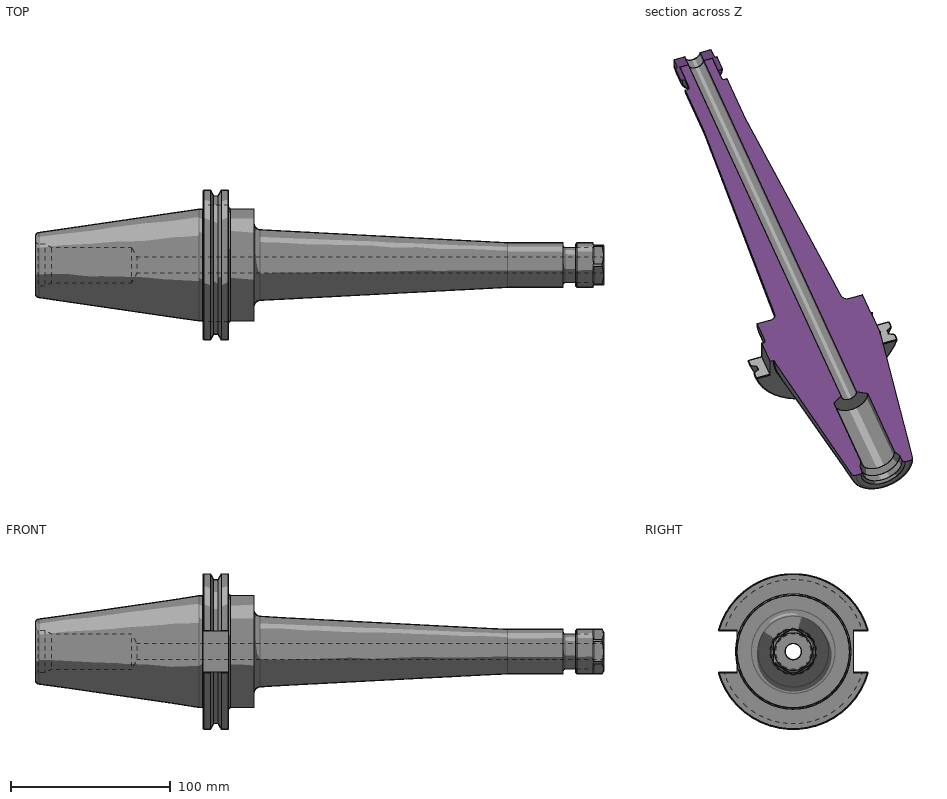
import cadquery as cq
import math

taper_length = 101.75
band_start = 0.6
flange_start = 3.2
flange_end = 19.1
collar_end = 35.0
cone_end = 193.6
shank_end = 228.3
nut_end = 253.87
nut_length = 17.8
hex_length = 6.8
nut_start = nut_end - nut_length
hex_start = nut_end - hex_length

gauge_diameter = 69.85
taper_ratio = 7 / 24
band_diameter = gauge_diameter + band_start * taper_ratio
taper_end_diameter = gauge_diameter - taper_length * taper_ratio
taper_end_fillet = 2.5

flange_diameter = 97.5
flange_chamfer = 0.5
flange_front_foot = 0.5
groove_centre = 11.1
groove_depth = 3.6
groove_floor_width = 2.7
groove_half_angle = 30
slot_width = 25.7
slot_floor_front = 35.3
slot_floor_back = 37.7
slot_mouth_limit = (slot_floor_back + flange_diameter / 2) / 2

collar_diameter = 70.2
collar_foot = 1.0
cone_start_diameter = 44.7
cone_fillet = 4.0
shank_diameter = 28.0
neck_diameter = 22.0
neck_fillet = 1.2

mouth_diameter = 29.2
pilot_diameter = 26.2
pilot_depth = 6.0
drawbar_diameter = 22.23
drawbar_start_depth = 10.0
drawbar_end_depth = 60.0
drill_tip_half_angle = 59
through_diameter = 10.0

nut_diameter = 28.0
nut_rear_chamfer = 0.9
hex_across_flats = 25.0
flat_count = 6
hex_root_fillet = 0.7
nut_face_diameter = 23.56
nut_face_angle = 30

overshoot = 1.0
position_tolerance = 0.01


def revolve_about_x(points):
    """Solid of revolution about X from (x, radius) points."""
    return cq.Workplane("XY").polyline(points).close().revolve(360, (0, 0, 0), (1, 0, 0))


def disc(x_start, x_end, diameter):
    """Cylinder about X between two axial positions."""
    return cq.Workplane("YZ", origin=(x_start, 0, 0)).circle(diameter / 2).extrude(x_end - x_start)


def inner_circle(solid, x):
    """The smallest circular edge of a turned solid in the plane at x."""
    circles = solid.edges("%CIRCLE").vals()
    in_plane = [edge for edge in circles if abs(edge.Center().x - x) < position_tolerance]
    return solid.newObject([min(in_plane, key=lambda edge: edge.radius())])


def make_taper():
    taper = revolve_about_x([
        (-taper_length, 0),
        (-taper_length, taper_end_diameter / 2),
        (band_start, band_diameter / 2),
        (flange_start - flange_front_foot, band_diameter / 2),
        (flange_start, band_diameter / 2 + flange_front_foot),
        (flange_start, 0),
    ])
    return taper.faces("<X").edges().fillet(taper_end_fillet)


def make_groove():
    floor_half = groove_floor_width / 2
    floor_radius = flange_diameter / 2 - groove_depth
    cut_height = groove_depth + overshoot
    mouth_half = floor_half + cut_height * math.tan(math.radians(groove_half_angle))
    return revolve_about_x([
        (groove_centre - floor_half, floor_radius),
        (groove_centre + floor_half, floor_radius),
        (groove_centre + mouth_half, floor_radius + cut_height),
        (groove_centre - mouth_half, floor_radius + cut_height),
    ])


def make_slot(side, floor):
    """Cutter for one drive slot on the side Y < 0 (-1) or Y > 0 (+1)."""
    length = flange_end - flange_start
    centre_x = (flange_start + flange_end) / 2
    slot = cq.Workplane("XY").box(length, flange_diameter, slot_width)
    return slot.translate((centre_x, side * (floor + flange_diameter / 2), 0))


def make_flange():
    flange = disc(flange_start, flange_end, flange_diameter)
    for side, floor in ((-1, slot_floor_front), (1, slot_floor_back)):
        flange = flange.cut(make_slot(side, floor))
    rim_edges = flange.edges("%CIRCLE").vals()
    slot_wall_edges = flange.faces("+Z or -Z").edges("|Y").vals()
    slot_corners = flange.edges("|X").vals()
    slot_mouth_edges = [edge for edge in slot_corners if abs(edge.Center().y) > slot_mouth_limit]
    flange = flange.newObject(rim_edges + slot_wall_edges + slot_mouth_edges).chamfer(flange_chamfer)
    return flange.cut(make_groove())


def make_shank():
    """Collar, tapered shank and the neck that runs into the nut."""
    shank = revolve_about_x([
        (flange_end, 0),
        (flange_end, collar_diameter / 2 + collar_foot),
        (flange_end + collar_foot, collar_diameter / 2),
        (collar_end, collar_diameter / 2),
        (collar_end, cone_start_diameter / 2),
        (cone_end, shank_diameter / 2),
        (shank_end, shank_diameter / 2),
        (shank_end, neck_diameter / 2),
        (hex_start, neck_diameter / 2),
        (hex_start, 0),
    ])
    shank = inner_circle(shank, collar_end).fillet(cone_fillet)
    return inner_circle(shank, shank_end).fillet(neck_fillet)


def make_bores():
    mouth_chamfer = (mouth_diameter - pilot_diameter) / 2
    tip_length = drawbar_diameter / 2 / math.tan(math.radians(drill_tip_half_angle))
    stepped = revolve_about_x([
        (0, 0),
        (0, mouth_diameter / 2),
        (mouth_chamfer, pilot_diameter / 2),
        (pilot_depth, pilot_diameter / 2),
        (drawbar_start_depth, drawbar_diameter / 2),
        (drawbar_end_depth, drawbar_diameter / 2),
        (drawbar_end_depth + tip_length, 0),
    ]).translate((-taper_length, 0, 0))
    return stepped.union(disc(-taper_length, hex_start, through_diameter))


def make_holder():
    return make_taper().union(make_flange()).union(make_shank()).cut(make_bores())


def make_flat_cutter(angle):
    """Cutter for one wrench flat, rounded where it meets the nut's shoulder; 0 degrees faces +Y."""
    cutter = cq.Workplane("XY").box(
        hex_length + overshoot, nut_diameter / 2, nut_diameter, centered=(False, False, True)
    )
    cutter = cutter.faces("<X").edges("<Y").fillet(hex_root_fillet)
    cutter = cutter.translate((hex_start, hex_across_flats / 2, 0))
    return cutter.rotate((0, 0, 0), (1, 0, 0), angle)


def make_nut():
    face_chamfer_radial = (nut_diameter - nut_face_diameter) / 2
    face_chamfer_axial = face_chamfer_radial * math.tan(math.radians(nut_face_angle))
    nut = revolve_about_x([
        (nut_start, 0),
        (nut_start, nut_diameter / 2 - nut_rear_chamfer),
        (nut_start + nut_rear_chamfer, nut_diameter / 2),
        (nut_end - face_chamfer_axial, nut_diameter / 2),
        (nut_end, nut_face_diameter / 2),
        (nut_end, 0),
    ])
    for index in range(flat_count):
        nut = nut.cut(make_flat_cutter(index * 360 / flat_count))
    neck_socket = disc(nut_start, hex_start, neck_diameter)
    return nut.cut(neck_socket).cut(disc(hex_start, nut_end, through_diameter))


holder = make_holder()
nut = make_nut()
result = cq.Compound.makeCompound([holder.val(), nut.val()])